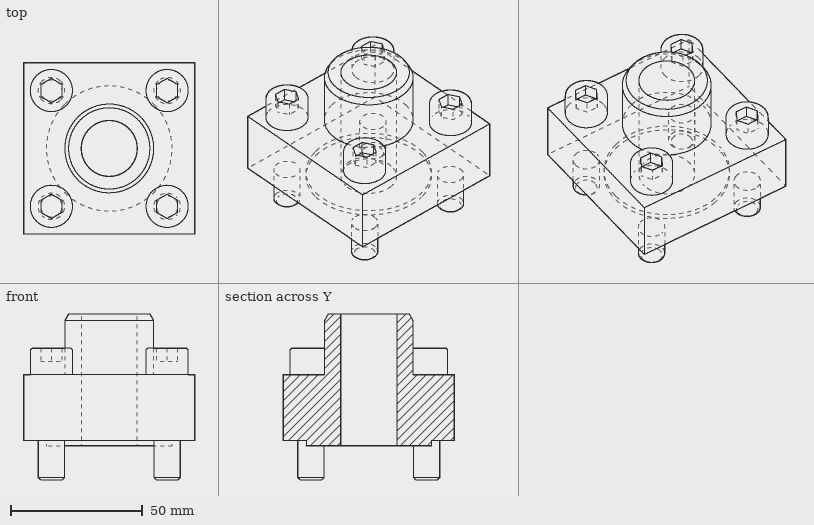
import cadquery as cq
import math

PLATE_SIDE = 65
PLATE_HEIGHT = 25.0

PIPE_DIAMETER = 33.7
BORE_DIAMETER = 21.1
PIPE_RISE = 23.0
BEVEL_HEIGHT = 2.5
BEVEL_WIDTH = BEVEL_HEIGHT * math.tan(math.radians(30))
SPIGOT_DIAMETER = 47.6
SPIGOT_DROP = 2.0

SCREW_SPACING = 43.9
SHANK_DIAMETER = 10.0
SHANK_DROP = 14.95
SHANK_CHAMFER = 1.0
HEAD_DIAMETER = 16.0
HEAD_HEIGHT = 10.0
HEAD_FILLET = 1.0
SOCKET_ACROSS_FLATS = 8.0
SOCKET_DEPTH = 5.0


def make_plate():
    return cq.Workplane("XY").box(PLATE_SIDE, PLATE_SIDE, PLATE_HEIGHT, centered=(True, True, False))


def make_pipe():
    """Solid pipe with a welding bevel around its upper end."""
    radius = PIPE_DIAMETER / 2
    top = PLATE_HEIGHT + PIPE_RISE
    half_profile = [
        (0, PLATE_HEIGHT),
        (radius, PLATE_HEIGHT),
        (radius, top - BEVEL_HEIGHT),
        (radius - BEVEL_WIDTH, top),
        (0, top),
    ]
    return cq.Workplane("XZ").polyline(half_profile).close().revolve(360, (0, 0, 0), (0, 1, 0))


def make_spigot():
    return cq.Workplane("XY").circle(SPIGOT_DIAMETER / 2).extrude(-SPIGOT_DROP)


def make_screw():
    """Screw on the Z axis, its head seated on the plate's upper face."""
    shank = (
        cq.Workplane("XY")
        .workplane(offset=-SHANK_DROP)
        .circle(SHANK_DIAMETER / 2)
        .extrude(SHANK_DROP + PLATE_HEIGHT)
        .faces("<Z")
        .chamfer(SHANK_CHAMFER)
    )
    head = (
        cq.Workplane("XY")
        .workplane(offset=PLATE_HEIGHT)
        .circle(HEAD_DIAMETER / 2)
        .extrude(HEAD_HEIGHT)
        .faces(">Z")
        .fillet(HEAD_FILLET)
    )
    socket = (
        cq.Workplane("XY")
        .workplane(offset=PLATE_HEIGHT + HEAD_HEIGHT - SOCKET_DEPTH)
        .transformed(rotate=(0, 0, 90))
        .polygon(6, SOCKET_ACROSS_FLATS / math.cos(math.pi / 6))
        .extrude(SOCKET_DEPTH)
    )
    return shank.union(head).cut(socket)


def make_bore():
    length = SPIGOT_DROP + PLATE_HEIGHT + PIPE_RISE
    return cq.Workplane("XY").workplane(offset=-SPIGOT_DROP).circle(BORE_DIAMETER / 2).extrude(length)


result = make_plate().union(make_pipe()).union(make_spigot()).cut(make_bore())

screw = make_screw()
for x_side in (-1, 1):
    for y_side in (-1, 1):
        position = (x_side * SCREW_SPACING / 2, y_side * SCREW_SPACING / 2, 0)
        result = result.union(screw.translate(position))